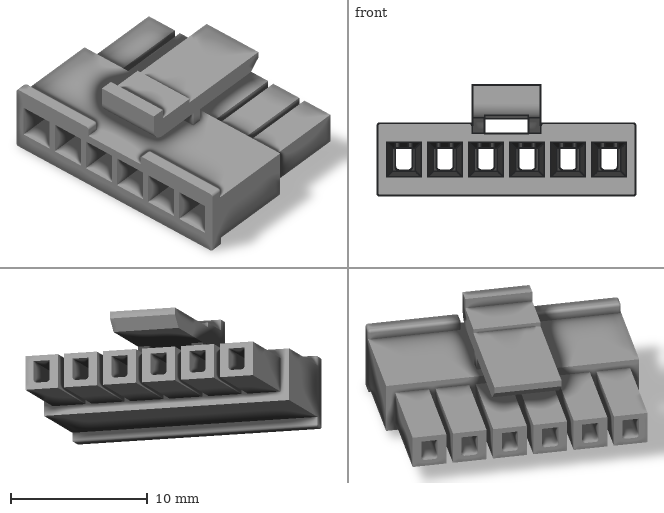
import cadquery as cq

width = 18.85
body_bottom = 0.7
body_top = 4.55
body_depth = 7.6
flange_top = 5.3
flange_depth = 1.0
lip_radius = 0.2
bottom_radius = 0.15

position_count = 6
pitch = 3.0
tube_size = 2.5
tube_bottom = 1.38
tube_top = tube_bottom + tube_size
depth = 14.0

funnel_depth = 1.88
shoulder_wall = 0.6
shoulder_depth = body_depth - shoulder_wall
cavity_depth = shoulder_depth - funnel_depth
funnel_inset = 0.41
bore_width = 1.23
bore_floor_step = 0.08
bore_corner = 0.25
groove_width = 0.28

height = 8.09
latch_width = 5.0
hook_front = 1.5
hook_back = 2.5
hook_radius = 1.0
ledge_back = 5.5
ledge_top = 7.3
arm_back = 13.21
arm_top = 6.95
arm_bottom_front = 5.67
arm_bottom_back = 5.6
arm_chamfer = 0.85
leg_front = 5.92
leg_back = 6.65
leg_gap = 3.2
relief_height = 0.2


def block(x_size, y_min, y_max, z_min, z_max, x_center=0.0):
    """Box centred on x_center, spanning the given Y and Z ranges."""
    corner = (x_center - x_size / 2, y_min, z_min)
    return cq.Workplane("XY").box(x_size, y_max - y_min, z_max - z_min, centered=False).translate(corner)


def make_lip(side):
    """Lip above the body, rounded along its top and behind; side is -1 or 1."""
    lip_width = (width - latch_width) / 2
    lip_center = side * (width + latch_width) / 4
    lip = block(lip_width, 0, flange_depth, body_top, flange_top, lip_center)
    lip = lip.edges("(|Y and >Z) or (|X and >Z and >Y) or (|Z and >Y)")
    return lip.fillet(lip_radius)


def make_base():
    """Body and flange, with a gap between the two lips under the latch."""
    flange = block(width, 0, flange_depth, 0, body_top)
    flange = flange.edges("<Z and (not <Y)").fillet(bottom_radius)
    base = block(width, 0, body_depth, body_bottom, body_top).union(flange)
    for side in (-1, 1):
        base = base.union(make_lip(side))
    return base


def make_socket(x_center):
    """Space inside one terminal position, from the mouth through the tube end."""
    center_z = tube_bottom + tube_size / 2
    socket = block(tube_size, 0, cavity_depth, tube_bottom, tube_top, x_center)

    funnel_end_size = tube_size - 2 * funnel_inset
    funnel = (
        cq.Workplane("XZ", origin=(x_center, cavity_depth, center_z))
        .rect(tube_size, tube_size)
        .workplane(offset=-funnel_depth)
        .rect(funnel_end_size, funnel_end_size)
        .loft(ruled=True)
    )

    bore_floor = tube_bottom + funnel_inset + bore_floor_step
    bore_roof = tube_top - funnel_inset
    bore = block(bore_width, 0, depth, bore_floor, bore_roof, x_center)
    bore = bore.edges("|Y and <Z").fillet(bore_corner)
    socket = socket.union(funnel).union(bore)

    for side in (-1, 1):
        groove_x = x_center + side * (bore_width - groove_width) / 2
        groove = block(groove_width, 0, shoulder_depth, center_z, tube_top, groove_x)
        socket = socket.union(groove)
    return socket


def make_latch():
    """Latch arm profile extruded across its width, standing on two legs."""
    arm = (
        cq.Workplane("YZ", origin=(-latch_width / 2, 0, 0))
        .moveTo(hook_front, height)
        .lineTo(hook_back, height)
        .lineTo(hook_back, ledge_top)
        .lineTo(ledge_back, ledge_top)
        .lineTo(ledge_back, arm_top)
        .lineTo(arm_back, arm_top)
        .lineTo(arm_back, arm_bottom_back + arm_chamfer)
        .lineTo(arm_back - arm_chamfer, arm_bottom_back)
        .lineTo(leg_front, arm_bottom_back)
        .lineTo(leg_front, arm_bottom_front)
        .lineTo(hook_front + hook_radius, arm_bottom_front)
        .radiusArc((hook_front, arm_bottom_front + hook_radius), hook_radius)
        .close()
        .extrude(latch_width)
    )
    relief = block(leg_gap, hook_front, leg_front, arm_bottom_front, arm_bottom_front + relief_height)
    arm = arm.cut(relief)
    leg_width = (latch_width - leg_gap) / 2
    for side in (-1, 1):
        leg_x = side * (leg_gap + leg_width) / 2
        arm = arm.union(block(leg_width, leg_front, leg_back, body_top, arm_bottom_front, leg_x))
    return arm


result = make_base().union(make_latch())
for position in range(position_count):
    x = (position - (position_count - 1) / 2) * pitch
    tube = block(tube_size, body_depth, depth, tube_bottom, tube_top, x)
    result = result.union(tube).cut(make_socket(x))